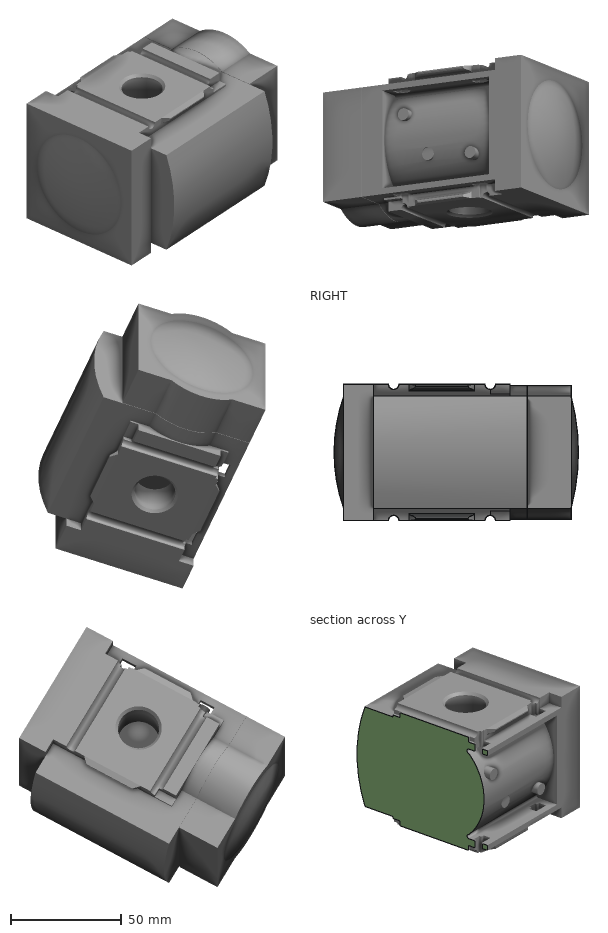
import cadquery as cq
import math

half = 31.0
length = 103.6
shoulder_height = 25.5
pad_half_width = 23.9
front_block_end = 13.8
pad_end = 75.8
cover_end = 83.5

seam_width = 0.2
seam_depth = 0.2

dome_radius = 25.0
front_dome_height = 4.2
rear_dome_height = 3.2

crown_half_width = 14.8
crown_height = 30.4

cover_edge_x = 40.1
cover_outer_x = 44.8

port_y = 44.8
port_diameter = 18.7
port_depth = 16.7
port_chamfer = 1.2

groove_radius = 2.3
groove_ys = (22.9, 66.8)

notch_half_width = 20.0
notch_start = 66.9
notch_floor = 26.5

lug_length = 29.7
lug_reach = 2.9
lug_nose_depths = (0.4, 1.0)
lug_underside = ((2.5, 1.7), (0.4, 2.5))
lug_depth = 3.2
lug_overlap = 1.1

window_start = 16.9
window_end = 72.6
window_half_height = 22.8
drum_radius = 28.9
drum_half_height = 20.8
window_floor_x = -math.sqrt(drum_radius**2 - drum_half_height**2)

slot_ys = (24.3, 65.2)
slot_head = (-27.5, -23.7, 7.2)
slot_neck = (-23.9, -22.4, 4.0)

pin_diameter = 5.5
pin_end_x = -30.0
pin_places = ((62.3, 10.8), (27.3, -11.0))
button_diameter = 6.0
button_end_x = -27.8
button_place = (50.7, -8.5)


def block(x_range, y_range, z_range):
    """Box between the given limits."""
    sizes = [high - low for low, high in (x_range, y_range, z_range)]
    corner = (x_range[0], y_range[0], z_range[0])
    return cq.Workplane("XY").box(*sizes, centered=False).translate(corner)


def x_cylinder(diameter, place, x_start, x_end):
    """Cylinder along X at place = (y, z)."""
    return (
        cq.Workplane("YZ", origin=(x_start, 0, 0))
        .center(*place)
        .circle(diameter / 2)
        .extrude(x_end - x_start)
    )


def with_mirror(shape, plane):
    """The shape joined with its mirror image."""
    return shape.union(shape.mirror(plane))


def dome(height):
    """Spherical cap rising toward +Y from a disc at y = 0."""
    radius = (dome_radius**2 + height**2) / (2 * height)
    mid_angle = math.asin(dome_radius / radius) / 2
    mid_point = (radius * math.sin(mid_angle), height - radius * (1 - math.cos(mid_angle)))
    return (
        cq.Workplane("XY")
        .lineTo(dome_radius, 0)
        .threePointArc(mid_point, (0, height))
        .close()
        .revolve(360, (0, 0, 0), (0, 1, 0))
    )


def make_front():
    """Full-height front block and the shouldered body behind it."""
    full = (-half, half)
    shoulders = block(full, (0, pad_end), (-shoulder_height, shoulder_height))
    return shoulders.union(block(full, (0, front_block_end), full))


def rear_section(y_start, y_end, inset=0):
    """Slice of the rear body, with a rounded crown above and below, shrunk by the inset."""
    outline = (
        cq.Workplane("XZ", origin=(0, y_end, 0))
        .moveTo(-half, -shoulder_height)
        .lineTo(-crown_half_width, -shoulder_height)
        .threePointArc((0, -crown_height), (crown_half_width, -shoulder_height))
        .lineTo(half, -shoulder_height)
        .lineTo(half, shoulder_height)
        .lineTo(crown_half_width, shoulder_height)
        .threePointArc((0, crown_height), (-crown_half_width, shoulder_height))
        .lineTo(-half, shoulder_height)
        .close()
    )
    if inset:
        outline = outline.offset2D(-inset)
    return outline.extrude(y_end - y_start)


def make_seam():
    """Hairline groove around the body where the rear cap meets it."""
    seam_end = cover_end + seam_width
    return rear_section(cover_end, seam_end).cut(rear_section(cover_end, seam_end, seam_depth))


def make_cover():
    """Side cover with a curved outer face on the +X side."""
    return (
        cq.Workplane("XZ", origin=(0, cover_end, 0))
        .moveTo(half, -shoulder_height)
        .lineTo(cover_edge_x, -shoulder_height)
        .threePointArc((cover_outer_x, 0), (cover_edge_x, shoulder_height))
        .lineTo(half, shoulder_height)
        .close()
        .extrude(cover_end - front_block_end)
    )


def make_lug():
    """Dovetail lug on the +X side of the top pad, tapering at both ends."""
    nose_x = pad_half_width + lug_reach
    root_x = pad_half_width - lug_overlap
    section = [(root_x, half), (pad_half_width, half)]
    section += [(nose_x, half - depth) for depth in lug_nose_depths]
    section += [(pad_half_width + reach, half - depth) for reach, depth in lug_underside]
    section += [(pad_half_width, half - lug_depth), (root_x, half - lug_depth)]
    half_length = lug_length / 2
    bar = (
        cq.Workplane("XZ", origin=(0, port_y + half_length, 0))
        .polyline(section)
        .close()
        .extrude(lug_length)
    )
    nose_half_length = half_length - lug_reach
    plan = [
        (root_x, -half_length),
        (pad_half_width, -half_length),
        (nose_x, -nose_half_length),
        (nose_x, nose_half_length),
        (pad_half_width, half_length),
        (root_x, half_length),
    ]
    tapered = cq.Workplane("XY").center(0, port_y).polyline(plan).close().extrude(half)
    return bar.intersect(tapered)


def make_pad():
    """Raised top pad with corner notches and lugs."""
    pad_width = (-pad_half_width, pad_half_width)
    pad = block(pad_width, (front_block_end, pad_end), (shoulder_height, half))
    notch = block((notch_half_width, half), (notch_start, pad_end), (notch_floor, half))
    pad = pad.cut(with_mirror(notch, "YZ"))
    return pad.union(with_mirror(make_lug(), "YZ"))


def make_grooves():
    """Round grooves across the top pad."""
    grooves = cq.Workplane("XY")
    for y in groove_ys:
        grooves = grooves.union(x_cylinder(2 * groove_radius, (y, half), -pad_half_width, pad_half_width))
    return grooves


def make_port():
    """Blind port with a chamfered mouth in the top pad."""
    top = cq.Workplane("XY", origin=(0, port_y, half))
    bore = top.circle(port_diameter / 2).extrude(-port_depth)
    mouth = cq.Solid.makeCone(
        port_diameter / 2 + port_chamfer,
        port_diameter / 2,
        port_chamfer,
        pnt=cq.Vector(0, port_y, half),
        dir=cq.Vector(0, 0, -1),
    )
    return bore.union(cq.Workplane(obj=mouth))


def make_t_slots():
    """T-slots through the wall between the window and the top shoulder."""
    slots = cq.Workplane("XY")
    for y in slot_ys:
        for x_start, x_end, width in (slot_head, slot_neck):
            y_range = (y - width / 2, y + width / 2)
            slots = slots.union(block((x_start, x_end), y_range, (window_half_height, half)))
    return slots


def make_window():
    """Window in the -X side, leaving the drum inside it."""
    y_range = (window_start, window_end)
    z_range = (-window_half_height, window_half_height)
    opening = block((-half, window_floor_x), y_range, z_range)
    drum = (
        cq.Workplane("XZ", origin=(0, window_end, 0))
        .circle(drum_radius)
        .extrude(window_end - window_start)
    )
    corner_diameter = window_half_height - drum_half_height
    corner_z = (window_half_height + drum_half_height) / 2
    corner_groove = (
        cq.Workplane("XZ", origin=(0, window_end, 0))
        .center(window_floor_x, corner_z)
        .circle(corner_diameter / 2)
        .extrude(window_end - window_start)
    )
    return opening.cut(drum).union(with_mirror(corner_groove, "XY"))


top_cuts = make_grooves().union(make_port()).union(make_t_slots())

result = make_front().union(rear_section(pad_end, length)).cut(make_seam())
result = result.union(dome(front_dome_height).mirror("XZ"))
result = result.union(dome(rear_dome_height).translate((0, length, 0)))
result = result.union(make_cover()).union(with_mirror(make_pad(), "XY"))
result = result.cut(make_window()).cut(with_mirror(top_cuts, "XY"))

for place in pin_places:
    result = result.union(x_cylinder(pin_diameter, place, pin_end_x, window_floor_x))

button_recess = x_cylinder(button_diameter, button_place, -half, button_end_x)
button = x_cylinder(button_diameter, button_place, button_end_x, window_floor_x)
result = result.cut(button_recess).union(button)